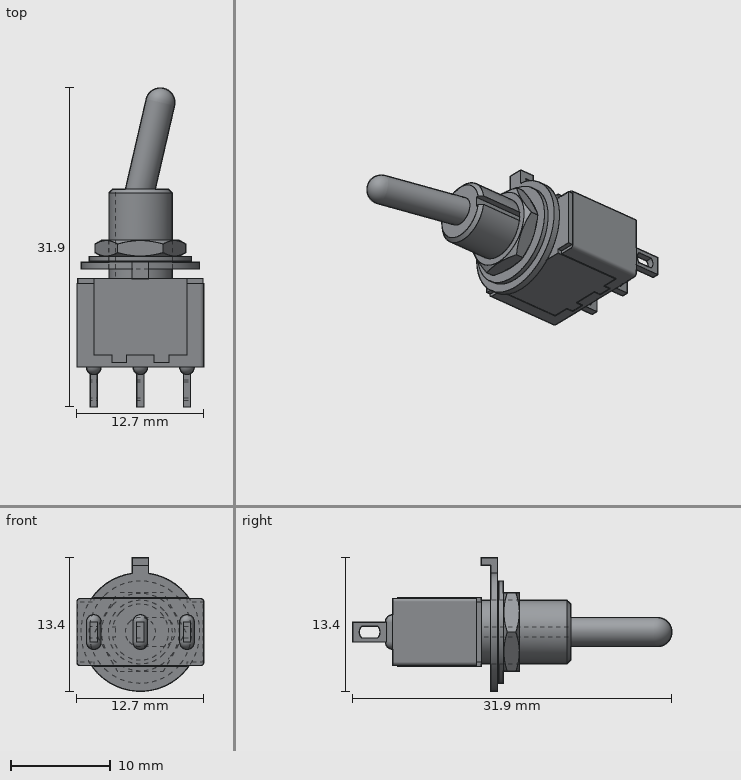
import cadquery as cq
import math


HOUSING_WIDTH = 12.7
HOUSING_DEPTH = 6.75
HOUSING_LENGTH = 8.4
HOUSING_EDGE_RADIUS = 0.35
BRACKET_END_Y = 8.87
BRACKET_WIDTH = 12.55
BRACKET_DEPTH = 6.93
BRACKET_PLATE_WIDTH = 9.3
BRACKET_PLATE_START_Y = 1.25
BRACKET_TAB_START_Y = 0.48
BRACKET_TAB_WIDTH = 1.47
BRACKET_TAB_X = 2.1

BUSHING_DIAMETER = 6.38
BUSHING_END_Y = 17.8
BUSHING_CHAMFER = 0.38
KEYWAY_WIDTH = 1.0
KEYWAY_DEPTH = 0.7

LEVER_DIAMETER = 2.95
LEVER_TILT = 13.0
LEVER_TIP_Y = 27.93

TERMINAL_PITCH = 4.65
TERMINAL_LENGTH = 4.0
TERMINAL_WIDTH = 2.0
TERMINAL_THICKNESS = 0.75
SEAL_RADIUS = 0.75
EYELET_STRAIGHT_LENGTH = 1.6
EYELET_WIDTH = 1.15
EYELET_END_BULGE = 0.22
EYELET_CENTER_Y = -2.3

LOCATING_WASHER_START_Y = 9.8
LOCATING_WASHER_THICKNESS = 0.7
LOCATING_WASHER_DIAMETER = 11.87
LOCATING_TAB_TOP_Z = 7.45
LOCATING_TAB_WIDTH = 1.63
LOCATING_TAB_HEIGHT = 0.77
LOCATING_TAB_LENGTH = 1.65

FLAT_WASHER_START_Y = 10.6
FLAT_WASHER_THICKNESS = 0.48
FLAT_WASHER_DIAMETER = 10.25

NUT_THICKNESS = 1.63
NUT_ACROSS_FLATS = 7.9
NUT_FACE_DIAMETER = 7.75
NUT_CHAMFER_ANGLE = 30.0
NUT_ENVELOPE_CLEARANCE = 0.32

LEVER_RADIUS = LEVER_DIAMETER / 2
LOCATING_WASHER_END_Y = LOCATING_WASHER_START_Y + LOCATING_WASHER_THICKNESS
NUT_START_Y = FLAT_WASHER_START_Y + FLAT_WASHER_THICKNESS
NUT_ACROSS_CORNERS = NUT_ACROSS_FLATS / math.cos(math.radians(30))


def box(width, depth, start_y, end_y, x=0, z=0):
    """Box centred on x and z that runs along Y from start_y to end_y."""
    return cq.Workplane("XY").box(width, end_y - start_y, depth).translate((x, (start_y + end_y) / 2, z))


def section_at(y):
    """Sketch plane across the switch axis; a negative extrusion goes toward +Y."""
    return cq.Workplane("XZ", origin=(0, y, 0))


def cylinder(diameter, start_y, end_y):
    """Round bar on the switch axis from start_y to end_y."""
    return section_at(start_y).circle(diameter / 2).extrude(start_y - end_y)


def make_housing_block():
    block = box(HOUSING_WIDTH, HOUSING_DEPTH, 0, HOUSING_LENGTH)
    return block.edges("|Y").fillet(HOUSING_EDGE_RADIUS)


def make_bracket():
    """Cover over the bushing end, with a toothed plate down each broad side."""
    ear_depth = HOUSING_DEPTH - 2 * HOUSING_EDGE_RADIUS
    bracket = box(BRACKET_WIDTH, ear_depth, HOUSING_LENGTH, BRACKET_END_Y)
    bracket = bracket.union(box(BRACKET_PLATE_WIDTH, BRACKET_DEPTH, BRACKET_PLATE_START_Y, BRACKET_END_Y))
    for x in (-BRACKET_TAB_X, BRACKET_TAB_X):
        bracket = bracket.union(
            box(BRACKET_TAB_WIDTH, BRACKET_DEPTH, BRACKET_TAB_START_Y, BRACKET_PLATE_START_Y, x)
        )
    return bracket


def make_bushing():
    bushing = cylinder(BUSHING_DIAMETER, BRACKET_END_Y, BUSHING_END_Y)
    bushing = bushing.faces(">Y").chamfer(BUSHING_CHAMFER)
    keyway_x = -BUSHING_DIAMETER / 2
    keyway = box(2 * KEYWAY_DEPTH, KEYWAY_WIDTH, BRACKET_END_Y, BUSHING_END_Y, keyway_x)
    return bushing.cut(keyway)


def make_lever():
    """Round-tipped bar that tilts toward +X about the end of the bushing."""
    dome_center_rise = LEVER_TIP_Y - LEVER_RADIUS - BUSHING_END_Y
    straight_length = dome_center_rise / math.cos(math.radians(LEVER_TILT))
    buried_length = LEVER_RADIUS
    lever = (
        cq.Workplane("XY")
        .moveTo(0, -buried_length)
        .lineTo(-LEVER_RADIUS, -buried_length)
        .lineTo(-LEVER_RADIUS, straight_length)
        .radiusArc((0, straight_length + LEVER_RADIUS), LEVER_RADIUS)
        .close()
        .revolve(360, (0, 0, 0), (0, 1, 0))
    )
    return lever.rotate((0, 0, 0), (0, 0, 1), -LEVER_TILT).translate((0, BUSHING_END_Y, 0))


def make_eyelet():
    """Slot-shaped cutter along X with shallow arcs for its two ends."""
    near_y = EYELET_CENTER_Y + EYELET_STRAIGHT_LENGTH / 2
    far_y = EYELET_CENTER_Y - EYELET_STRAIGHT_LENGTH / 2
    half_width = EYELET_WIDTH / 2
    outline = (
        cq.Workplane("YZ")
        .moveTo(far_y, half_width)
        .lineTo(near_y, half_width)
        .threePointArc((near_y + EYELET_END_BULGE, 0), (near_y, -half_width))
        .lineTo(far_y, -half_width)
        .threePointArc((far_y - EYELET_END_BULGE, 0), (far_y, half_width))
        .close()
    )
    return outline.extrude(TERMINAL_THICKNESS, both=True)


def make_terminal():
    """Flat blade with an eyelet, rising from a rounded seal on the housing."""
    seal = cq.Workplane("XY").circle(SEAL_RADIUS).extrude(TERMINAL_WIDTH / 2, both=True)
    for z in (-TERMINAL_WIDTH / 2, TERMINAL_WIDTH / 2):
        seal = seal.union(cq.Workplane("XY").sphere(SEAL_RADIUS).translate((0, 0, z)))
    blade = box(TERMINAL_THICKNESS, TERMINAL_WIDTH, -TERMINAL_LENGTH, 0)
    return seal.union(blade).cut(make_eyelet())


def make_switch():
    switch = make_housing_block().union(make_bracket()).union(make_bushing()).union(make_lever())
    terminal = make_terminal()
    for position in (-1, 0, 1):
        switch = switch.union(terminal.translate((position * TERMINAL_PITCH, 0, 0)))
    return switch


def make_locating_washer():
    """Washer with a tab that rises above its rim and bends toward the housing."""
    washer = cylinder(LOCATING_WASHER_DIAMETER, LOCATING_WASHER_START_Y, LOCATING_WASHER_END_Y)
    stem = box(
        LOCATING_TAB_WIDTH,
        LOCATING_TAB_TOP_Z,
        LOCATING_WASHER_START_Y,
        LOCATING_WASHER_END_Y,
        z=LOCATING_TAB_TOP_Z / 2,
    )
    hook = box(
        LOCATING_TAB_WIDTH,
        LOCATING_TAB_HEIGHT,
        LOCATING_WASHER_END_Y - LOCATING_TAB_LENGTH,
        LOCATING_WASHER_END_Y,
        z=LOCATING_TAB_TOP_Z - LOCATING_TAB_HEIGHT / 2,
    )
    bore = cylinder(BUSHING_DIAMETER, LOCATING_WASHER_START_Y, LOCATING_WASHER_END_Y)
    return washer.union(stem).union(hook).cut(bore)


def make_flat_washer():
    rings = section_at(FLAT_WASHER_START_Y).circle(FLAT_WASHER_DIAMETER / 2).circle(BUSHING_DIAMETER / 2)
    return rings.extrude(-FLAT_WASHER_THICKNESS)


def make_nut():
    """Hex nut with corners on the X axis, chamfered on both faces."""
    end_y = NUT_START_Y + NUT_THICKNESS
    hexagon = section_at(NUT_START_Y).polygon(6, NUT_ACROSS_CORNERS).extrude(-NUT_THICKNESS)
    outer_radius = NUT_ACROSS_CORNERS / 2 + NUT_ENVELOPE_CLEARANCE
    face_radius = NUT_FACE_DIAMETER / 2
    chamfer_height = (outer_radius - face_radius) * math.tan(math.radians(NUT_CHAMFER_ANGLE))
    chamfer_envelope = (
        cq.Workplane("XY")
        .moveTo(0, NUT_START_Y)
        .lineTo(face_radius, NUT_START_Y)
        .lineTo(outer_radius, NUT_START_Y + chamfer_height)
        .lineTo(outer_radius, end_y - chamfer_height)
        .lineTo(face_radius, end_y)
        .lineTo(0, end_y)
        .close()
        .revolve(360, (0, 0, 0), (0, 1, 0))
    )
    return hexagon.intersect(chamfer_envelope).cut(cylinder(BUSHING_DIAMETER, NUT_START_Y, end_y))


switch = make_switch()
locating_washer = make_locating_washer()
flat_washer = make_flat_washer()
nut = make_nut()

result = cq.Compound.makeCompound([switch.val(), locating_washer.val(), flat_washer.val(), nut.val()])